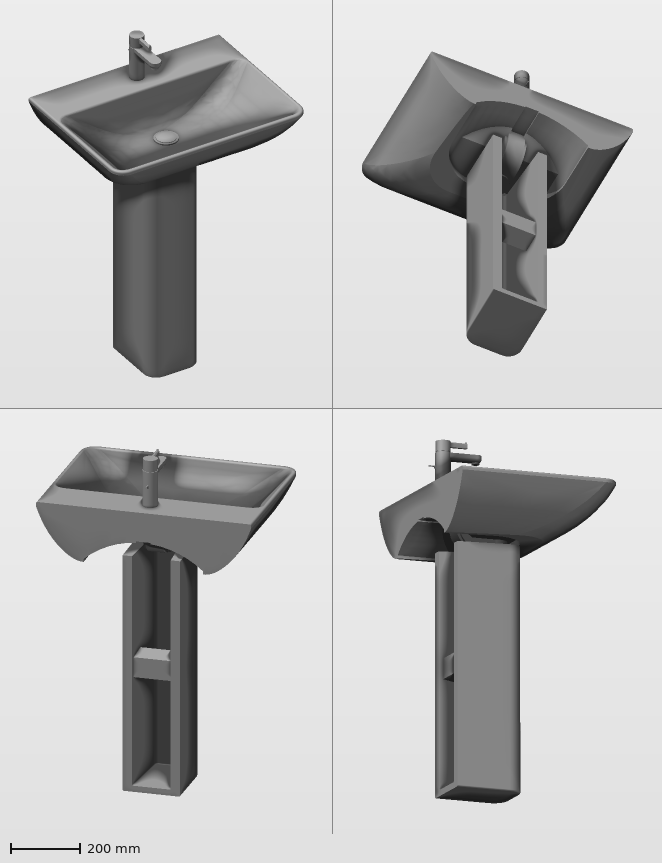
import cadquery as cq
import math


basin_length = 492.0
basin_width = 650.0
deck_z = 895.0
rim_height = 13.0
rim_corner_radius = 46.0
rim_edge_radius = 6.0
underside_back_z = 725.0
underside_rise = 7.0
skin_sections = [
    (underside_back_z, 281.0, 188.0, 104.0),
    (744.0, 356.0, 230.0, 99.0),
    (774.0, 409.0, 264.0, 89.0),
    (812.0, 449.0, 292.0, 73.0),
    (850.0, 476.0, 312.0, 57.0),
    (deck_z - rim_height, basin_length, basin_width / 2, rim_corner_radius),
]

bowl_floor_z = 770.0
bowl_sections = [
    (bowl_floor_z, 192.0, 269.0, 39.0, 38.0),
    (780.0, 169.0, 370.0, 146.0, 57.0),
    (805.0, 154.0, 425.0, 214.0, 63.0),
    (846.0, 144.0, 461.0, 266.0, 52.0),
    (deck_z, 137.0, 476.0, 316.0, 31.0),
]
bowl_edge_radius = 7.0

arch_half_chord = 180.0
arch_foot_z = 735.0
arch_crown_z = 803.0
recess_depth = 276.0
recess_corner_radius = 125.0
recess_ceiling_z = 755.0
recess_bend_x = 83.0
recess_ceiling_x = 146.0

drain_x = 230.0
boss_diameter = 73.0
boss_bottom_z = 715.0
channel_width = 52.0
sheath_width = 69.0
sheath_setback = 8.0
channel_back_x = 99.0
channel_top_z = 806.0
channel_bend_z = 786.0
channel_bottom_z = 720.0
channel_notch_width = 44.0

ring_diameter = 74.0
plug_diameter = 60.0
drain_hole_diameter = 42.0
plug_bottom_z = 774.0
plug_rim_z = 777.0
plug_crown_z = 781.0

pedestal_back_x = 79.0
pedestal_front_x = 289.0
pedestal_width = 174.0
pedestal_corner_radius = 44.0
pedestal_foot_radius = 4.0
cavity_floor_z = 19.0
cavity_back_width = 117.0
cavity_front_width = 92.0
cavity_corner_radius = 10.0
cavity_floor_radius = 3.0
front_wall = 17.0
bar_back_x = 93.0
bar_front_x = 149.0
bar_back_bottom_z = 349.0
bar_back_top_z = 411.0
bar_flare = 11.0

tap_x = 69.0
tap_diameter = 46.0
tap_top_z = 1005.0
neck_diameter = 42.0
neck_top_z = 1009.0
spout_width = 35.0
spout_height = 21.0
aerator_x = 170.0
spout_edge_radius = 10.0
aerator_diameter = 23.0
aerator_drop = 5.0
aerator_depth = 5.0
handle_diameter = 44.0
handle_top_z = 1040.0
lever_end_x = 143.0
lever_width = 10.0
lever_bottom_z = 1024.0
lever_top_z = 1039.0
lever_edge_chamfer = 3.0
lip_top_z = 1042.0
lip_length = 4.0

rod_diameter = 4.0
rod_end_x = 24.0
rod_z = 964.0
rod_seat = 5.0
rod_web_x = 40.0
rod_web_bottom_z = 944.0


def underside_z(x):
    """Height of the sloping underside at the distance x from the back."""
    return underside_back_z + underside_rise * x / pedestal_front_x


def rounded_front(z, front, half_width, radius):
    """Closed outline with a square back on X = 0 and two rounded front corners."""
    arc_in = radius * (1 - math.sqrt(0.5))
    return (
        cq.Workplane("XY", origin=(0, 0, z))
        .moveTo(0, half_width)
        .lineTo(0, -half_width)
        .lineTo(front - radius, -half_width)
        .threePointArc((front - arc_in, -half_width + arc_in), (front, -half_width + radius))
        .lineTo(front, half_width - radius)
        .threePointArc((front - arc_in, half_width - arc_in), (front - radius, half_width))
        .close()
    )


def rounded_rectangle(z, back, front, half_width, radius):
    """Closed outline from back to front with four rounded corners."""
    block = (
        cq.Workplane("XY", origin=((back + front) / 2, 0, z))
        .rect(front - back, 2 * half_width)
        .extrude(10)
        .edges("|Z")
        .fillet(radius)
    )
    return block.faces("<Z").wires()


def upright_cylinder(x, diameter, bottom, top):
    return cq.Workplane("XY", origin=(x, 0, bottom)).circle(diameter / 2).extrude(top - bottom)


def across(points, width):
    """Prism of the given width, centred on the mid plane, with an outline in X and Z."""
    return cq.Workplane("XZ").polyline(points).close().extrude(width / 2, both=True)


def box_between(x0, x1, width, z0, z1):
    return across([(x0, z0), (x1, z0), (x1, z1), (x0, z1)], width)


def make_basin_skin():
    wires = [rounded_front(*section).val() for section in skin_sections]
    skin = cq.Workplane(cq.Solid.makeLoft(wires))
    rim = rounded_front(
        deck_z - rim_height, basin_length, basin_width / 2, rim_corner_radius
    ).extrude(rim_height)
    rim = rim.faces(">Z").edges("not <X").fillet(rim_edge_radius)
    below_underside = across(
        [
            (0, underside_z(0)),
            (basin_length, underside_z(basin_length)),
            (basin_length, 0),
            (0, 0),
        ],
        basin_width,
    )
    return skin.union(rim).cut(below_underside)


def make_recess():
    arch = (
        cq.Workplane("YZ")
        .moveTo(-arch_half_chord, arch_foot_z)
        .threePointArc((0, arch_crown_z), (arch_half_chord, arch_foot_z))
        .lineTo(arch_half_chord, 0)
        .lineTo(-arch_half_chord, 0)
        .close()
        .extrude(recess_depth)
    )
    ceiling = across(
        [
            (0, 0),
            (0, deck_z),
            (recess_bend_x, arch_crown_z),
            (recess_ceiling_x, recess_ceiling_z),
            (recess_depth, recess_ceiling_z),
            (recess_depth, 0),
        ],
        2 * arch_half_chord,
    )
    notch = box_between(0, channel_back_x, channel_notch_width, recess_ceiling_z, channel_top_z)
    plan = rounded_front(0, recess_depth, arch_half_chord, recess_corner_radius).extrude(deck_z)
    return arch.intersect(ceiling).intersect(plan).union(notch)


def make_overflow_channel(back_x, width):
    """Rib with an upright back that bends forward to the drain boss."""
    bend_radius = channel_bend_z - channel_bottom_z
    arc_in = bend_radius * (1 - math.sqrt(0.5))
    return (
        cq.Workplane("XZ")
        .moveTo(back_x, channel_top_z)
        .lineTo(back_x, channel_bend_z)
        .threePointArc(
            (back_x + arc_in, channel_bottom_z + arc_in),
            (back_x + bend_radius, channel_bottom_z),
        )
        .lineTo(drain_x, channel_bottom_z)
        .lineTo(drain_x, channel_top_z)
        .close()
        .extrude(width / 2, both=True)
    )


def make_bowl():
    wires = [rounded_rectangle(*section).val() for section in bowl_sections]
    return cq.Workplane(cq.Solid.makeLoft(wires))


def make_basin():
    basin = make_basin_skin().cut(make_recess())
    boss = upright_cylinder(drain_x, boss_diameter, boss_bottom_z, bowl_floor_z)
    basin = basin.union(boss)
    basin = basin.union(make_overflow_channel(channel_back_x, channel_width))
    basin = basin.union(make_overflow_channel(channel_back_x + sheath_setback, sheath_width))
    basin = basin.cut(make_bowl())
    inside_rim = basin_width - 4 * rim_edge_radius
    bowl_mouth = cq.selectors.BoxSelector(
        (1.0, -inside_rim / 2, deck_z - 1.0),
        (basin_length - 2 * rim_edge_radius, inside_rim / 2, deck_z + 1.0),
    )
    basin = basin.edges(bowl_mouth).fillet(bowl_edge_radius)
    return basin.cut(upright_cylinder(drain_x, drain_hole_diameter, boss_bottom_z, bowl_floor_z))


def make_pedestal_cavity():
    inner_front_x = pedestal_front_x - front_wall
    return (
        cq.Workplane("XY", origin=(0, 0, cavity_floor_z))
        .moveTo(pedestal_back_x, cavity_back_width / 2)
        .lineTo(pedestal_back_x, -cavity_back_width / 2)
        .lineTo(inner_front_x, -cavity_front_width / 2)
        .lineTo(inner_front_x, cavity_front_width / 2)
        .close()
        .extrude(deck_z - cavity_floor_z)
        .edges("|Z and >X")
        .fillet(cavity_corner_radius)
        .faces("<Z")
        .edges("not <X")
        .fillet(cavity_floor_radius)
    )


def make_pedestal():
    column = across(
        [
            (pedestal_back_x, 0),
            (pedestal_front_x, 0),
            (pedestal_front_x, underside_z(pedestal_front_x)),
            (pedestal_back_x, underside_z(pedestal_back_x)),
        ],
        pedestal_width,
    )
    column = column.edges("|Z and >X").fillet(pedestal_corner_radius)
    column = column.faces("<Z").edges("not <X").fillet(pedestal_foot_radius)
    bar = across(
        [
            (bar_back_x, bar_back_bottom_z),
            (bar_front_x, bar_back_bottom_z - bar_flare),
            (bar_front_x, bar_back_top_z + bar_flare),
            (bar_back_x, bar_back_top_z),
        ],
        pedestal_width,
    )
    return column.cut(make_pedestal_cavity().cut(bar))


def make_drain_ring():
    ring = upright_cylinder(drain_x, ring_diameter, bowl_floor_z, plug_bottom_z)
    tail = upright_cylinder(drain_x, drain_hole_diameter, boss_bottom_z, bowl_floor_z)
    return ring.union(tail)


def make_drain_plug():
    """Round plug with a slightly domed top."""
    plug = upright_cylinder(drain_x, plug_diameter, plug_bottom_z, plug_crown_z)
    plug_radius = plug_diameter / 2
    crown = plug_crown_z - plug_rim_z
    dome_radius = (plug_radius**2 + crown**2) / (2 * crown)
    dome = cq.Workplane("XY", origin=(drain_x, 0, plug_crown_z - dome_radius)).sphere(dome_radius)
    return plug.intersect(dome)


def make_tap_body():
    body = upright_cylinder(tap_x, tap_diameter, deck_z, tap_top_z)
    neck = upright_cylinder(tap_x, neck_diameter, tap_top_z, neck_top_z)
    spout_bottom_z = tap_top_z - spout_height
    spout = box_between(tap_x, aerator_x, spout_width, spout_bottom_z, tap_top_z)
    nose = upright_cylinder(aerator_x, spout_width, spout_bottom_z, tap_top_z)
    spout = spout.union(nose).faces("<Z").edges("not <X").fillet(spout_edge_radius)
    aerator_seat = upright_cylinder(
        aerator_x, aerator_diameter, spout_bottom_z, spout_bottom_z + aerator_depth
    )
    return body.union(neck).union(spout).cut(aerator_seat).cut(make_pop_up_rod())


def make_aerator():
    spout_bottom_z = tap_top_z - spout_height
    return upright_cylinder(
        aerator_x, aerator_diameter, spout_bottom_z - aerator_drop, spout_bottom_z + aerator_depth
    )


def make_handle():
    """Round cap with a flat lever that ends in a raised lip."""
    cap = upright_cylinder(tap_x, handle_diameter, neck_top_z, handle_top_z)
    lever = box_between(tap_x, lever_end_x, lever_width, lever_bottom_z, lever_top_z)
    lever = lever.edges("|X and >Z").chamfer(lever_edge_chamfer)
    lip_width = lever_width - 2 * lever_edge_chamfer
    lip = box_between(lever_end_x - lip_length, lever_end_x, lip_width, lever_bottom_z, lip_top_z)
    return cap.union(lever).union(lip)


def make_pop_up_rod():
    """Thin rod seated in the back of the tap, on a triangular web."""
    seat_x = tap_x - tap_diameter / 2 + rod_seat
    rod = (
        cq.Workplane("YZ", origin=(rod_end_x, 0, rod_z))
        .circle(rod_diameter / 2)
        .extrude(seat_x - rod_end_x)
    )
    web = across(
        [(rod_web_x, rod_z), (seat_x, rod_web_bottom_z), (seat_x, rod_z)],
        rod_diameter,
    )
    return rod.union(web)


basin = make_basin()
pedestal = make_pedestal()
drain_ring = make_drain_ring()
drain_plug = make_drain_plug()
tap_body = make_tap_body()
aerator = make_aerator()
handle = make_handle()
pop_up_rod = make_pop_up_rod()

result = cq.Compound.makeCompound(
    [
        basin.val(),
        pedestal.val(),
        drain_ring.val(),
        drain_plug.val(),
        tap_body.val(),
        aerator.val(),
        handle.val(),
        pop_up_rod.val(),
    ]
)